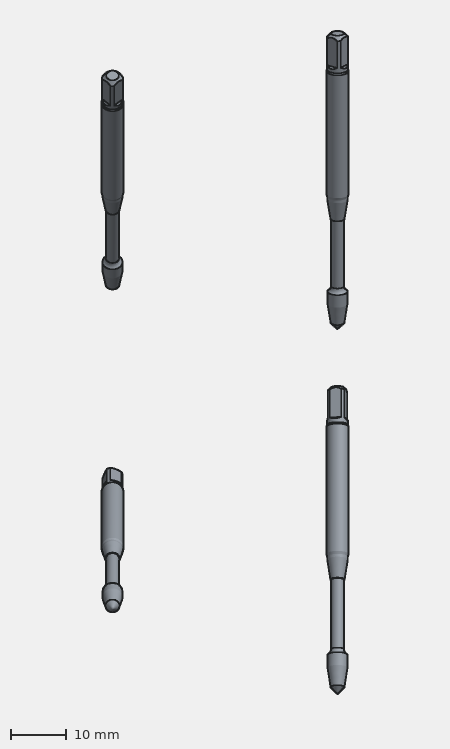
import cadquery as cq

total_length = 57.25

point_radius = 1.25
point_height = 1.3
thread_diameter = 3.6
lead_top = 4.9
thread_top = 7.3
head_top = 8.35

neck_diameter = 2.4
taper_end_diameter = 2.6
taper_bottom = 21.4
collar_diameter = 3.7
collar_bottom = 25.15
collar_top = 25.65
shank_diameter = 4.0
shank_bottom = 26.15
shank_top = 49.9
drive_bottom = 50.25

drive_diameter = 3.8
drive_end_diameter = 2.3
across_flats = 3.1
flat_bottom = 51.3

neck_radius = neck_diameter / 2
thread_radius = thread_diameter / 2
taper_end_radius = taper_end_diameter / 2
collar_radius = collar_diameter / 2
shank_radius = shank_diameter / 2
drive_radius = drive_diameter / 2
drive_end_radius = drive_end_diameter / 2
half_flats = across_flats / 2


def revolve_about_axis(profile):
    """Turn a closed half profile a full circle about the tool axis."""
    return profile.revolve(360, (0, 0, 0), (0, 1, 0))


def make_cutting_head():
    """Pointed head with a tapered lead and a concave flare running up to the neck."""
    flare_width = thread_radius - neck_radius
    flare_height = head_top - thread_top
    flare_radius = (flare_width**2 + flare_height**2) / (2 * flare_width)
    profile = (
        cq.Workplane("XZ")
        .moveTo(neck_radius, head_top)
        .radiusArc((thread_radius, thread_top), -flare_radius)
        .lineTo(thread_radius, lead_top)
        .lineTo(point_radius, point_height)
        .lineTo(0, 0)
        .lineTo(0, head_top)
        .close()
    )
    return revolve_about_axis(profile)


def make_turned_shank():
    """Round shank from the neck up to the chamfered drive end."""
    end_chamfer = drive_radius - drive_end_radius
    taper_chamfer = taper_end_radius - neck_radius
    profile = (
        cq.Workplane("XZ")
        .moveTo(0, head_top)
        .lineTo(neck_radius, head_top)
        .lineTo(neck_radius, taper_bottom - taper_chamfer)
        .lineTo(taper_end_radius, taper_bottom)
        .lineTo(collar_radius, collar_bottom)
        .lineTo(collar_radius, collar_top)
        .lineTo(shank_radius, shank_bottom)
        .lineTo(shank_radius, shank_top)
        .lineTo(drive_radius, drive_bottom)
        .lineTo(drive_radius, total_length - end_chamfer)
        .lineTo(drive_end_radius, total_length)
        .lineTo(0, total_length)
        .close()
    )
    return revolve_about_axis(profile)


def make_flat_cutter():
    """Cutter for the +X drive flat, running out on a 45 degree slope."""
    cut_depth = shank_diameter - half_flats
    return (
        cq.Workplane("XZ")
        .moveTo(half_flats, total_length)
        .lineTo(half_flats, flat_bottom)
        .lineTo(half_flats + cut_depth, flat_bottom - cut_depth)
        .lineTo(half_flats + cut_depth, total_length)
        .close()
        .extrude(shank_radius, both=True)
    )


def make_shank():
    """Turned shank with four flats forming the square drive."""
    shank = make_turned_shank()
    for angle in (0, 90, 180, 270):
        shank = shank.cut(make_flat_cutter().rotate((0, 0, 0), (0, 0, 1), angle))
    return shank


cutting_head = make_cutting_head()
shank = make_shank()

result = cq.Compound.makeCompound([cutting_head.val(), shank.val()])